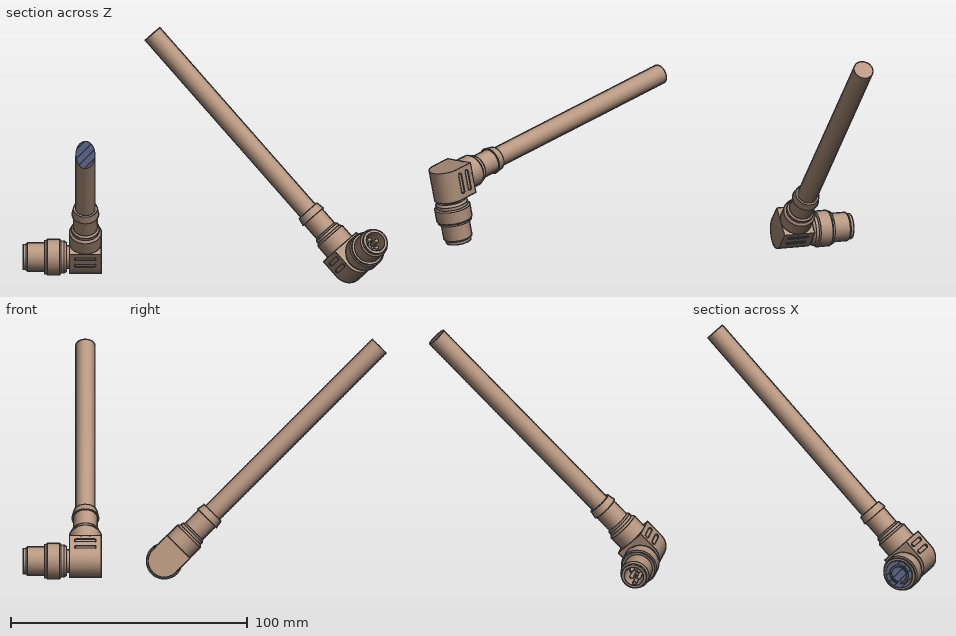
import cadquery as cq
import math

CABLE_ANGLE = 45.0
overall_height = 101.4

body_width = 13.6
body_radius = 6.9
shoulder_height = 8.5

hub_radius = body_width / 2
hub_end = 14.7
hub_chamfer = 1.0
neck_end = 17.7
neck_chamfer = 0.8
sleeve_radius = 5.1
neck_radius = sleeve_radius + neck_chamfer
collar_start = 25.6
collar_end = 28.9
collar_radius = 5.7
cable_radius = 4.2

plug_tip = -26.4
grip_start = -25.1
flange_start = -17.3
flange_rim = 0.7
ring_start = -16.1
ring_end = -10.8
rear_step_start = -10.3
rear_step_end = -9.0
rear_end = -7.9
tip_radius = 5.4
grip_radius = 6.1
flange_radius = 7.1
ring_radius = 7.6
rear_step_radius = 6.8
rear_radius = 6.1
plug_neck_radius = 4.9

socket_radius = 4.2
socket_depth = 9.1
core_radius = 3.4
core_height = 1.0
pin_count = 4
pin_circle_radius = 2.2
pin_radius = 0.8
pin_length = 5.9
pin_tip_rounding = 0.6
key_radius = 0.8
key_offset = 3.7
key_setback = 1.0

slot_length = 9.1
slot_width = 1.7
slot_depth = 0.5
slot_heights = (1.6, 5.6)

slant = math.radians(CABLE_ANGLE)
cable_end = (overall_height - ring_radius - cable_radius * math.cos(slant)) / math.sin(slant)


def revolve_about_x(profile):
    """Solid of revolution from (x, radius) points."""
    return cq.Workplane("XY").polyline(profile).close().revolve(360, (0, 0, 0), (1, 0, 0))


def revolve_about_z(profile):
    """Solid of revolution from (radius, z) points."""
    return cq.Workplane("XZ").polyline(profile).close().revolve(360, (0, 0, 0), (0, 1, 0))


def make_body():
    """Elbow body, built upright with the cable side towards +Z."""
    barrel = cq.Workplane("YZ").circle(body_radius).extrude(body_width / 2, both=True)
    block = cq.Workplane("XY").rect(body_width, 2 * body_radius).extrude(shoulder_height)
    body = barrel.union(block)
    for side in (-1, 1):
        for height in slot_heights:
            slot = (
                cq.Workplane("XZ", origin=(0, side * body_radius, height))
                .slot2D(slot_length, slot_width)
                .extrude(slot_depth, both=True)
            )
            body = body.cut(slot)
    return body


def make_sleeve_and_cable():
    """Hub, tapered steps, flared collar and cable, built along +Z."""
    return revolve_about_z([
        (0, shoulder_height),
        (hub_radius, shoulder_height),
        (hub_radius, hub_end),
        (neck_radius, hub_end + hub_chamfer),
        (neck_radius, neck_end - neck_chamfer),
        (sleeve_radius, neck_end),
        (sleeve_radius, collar_start),
        (collar_radius, collar_start),
        (sleeve_radius, collar_end),
        (cable_radius, collar_end),
        (cable_radius, cable_end),
        (0, cable_end),
    ])


def make_plug():
    """Plug shell with its grip, flange, ring and rear steps."""
    return revolve_about_x([
        (plug_tip, 0),
        (plug_tip, tip_radius),
        (grip_start, tip_radius),
        (grip_start + grip_radius - tip_radius, grip_radius),
        (flange_start, grip_radius),
        (flange_start, flange_radius),
        (flange_start + flange_rim, flange_radius),
        (ring_start, ring_radius),
        (ring_end, ring_radius),
        (rear_step_start, rear_step_radius),
        (rear_step_end, rear_step_radius),
        (rear_end, rear_radius),
        (rear_end, plug_neck_radius),
        (0, plug_neck_radius),
        (0, 0),
    ])


def make_socket():
    """Bore in the mating end, leaving a low core on its floor."""
    floor = plug_tip + socket_depth
    return revolve_about_x([
        (plug_tip, 0),
        (plug_tip, socket_radius),
        (floor, socket_radius),
        (floor, core_radius),
        (floor - core_height, core_radius),
        (floor - core_height, 0),
    ])


def make_pins():
    """Contact pins standing on the core inside the socket."""
    core_face = plug_tip + socket_depth - core_height
    return (
        cq.Workplane("YZ", origin=(core_face, 0, 0))
        .polarArray(pin_circle_radius, CABLE_ANGLE, 360, pin_count)
        .circle(pin_radius)
        .extrude(-pin_length)
        .faces("<X")
        .fillet(pin_tip_rounding)
    )


def make_key():
    """Rounded coding rib along the lowest line of the socket wall."""
    shell_radius = (socket_radius + tip_radius) / 2
    shell = cq.Workplane("YZ", origin=(plug_tip, 0, 0)).circle(shell_radius).extrude(socket_depth)
    rib_start = cq.Workplane("YZ", origin=(plug_tip + key_setback, 0, -key_offset))
    length = socket_depth - key_setback
    crest = rib_start.circle(key_radius).extrude(length)
    root_height = shell_radius - key_offset
    root = (
        rib_start.center(0, -root_height / 2)
        .rect(2 * key_radius, root_height)
        .extrude(length)
    )
    rib = crest.union(root)
    return rib.intersect(shell)


elbow = make_body().union(make_sleeve_and_cable())
elbow = elbow.rotate((0, 0, 0), (1, 0, 0), -CABLE_ANGLE)
result = elbow.union(make_plug()).cut(make_socket()).union(make_pins()).union(make_key())